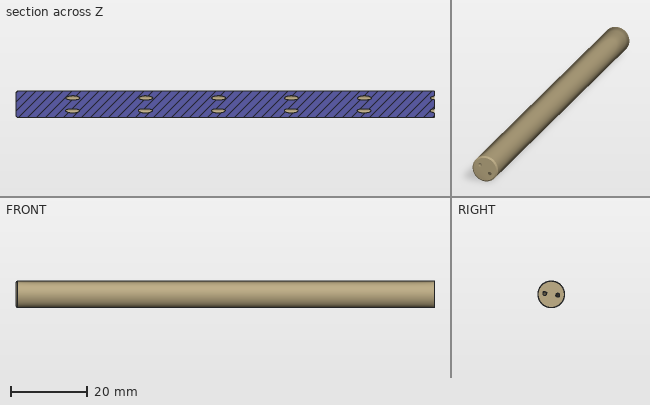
import cadquery as cq
import math

length = 110.0
rod_diameter = 7.0
entry_chamfer = 0.4

channel_diameter = 1.0
channel_y = 1.3
channel_z = 1.1
helix_angle = 30.0
helix_lead = math.pi * rod_diameter / math.tan(math.radians(helix_angle))
channel_twist = 360.0 * length / helix_lead


def make_rod():
    """Cylinder with its -X end chamfered."""
    rod = cq.Workplane("YZ").circle(rod_diameter / 2).extrude(length)
    return rod.faces("<X").edges().chamfer(entry_chamfer)


def make_channel(y, z):
    """Right-handed full-length channel twisting about the rod axis."""
    return (
        cq.Workplane("YZ")
        .pushPoints([(y, z)])
        .circle(channel_diameter / 2)
        .twistExtrude(length, channel_twist)
    )


result = make_rod()
for side in (1, -1):
    result = result.cut(make_channel(side * channel_y, side * channel_z))